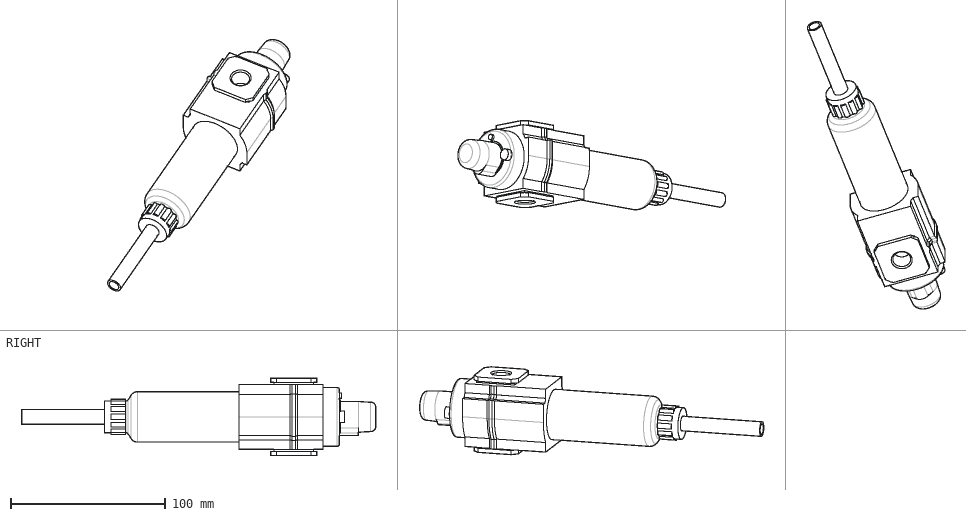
import cadquery as cq
import math


overall_length = 229.6
knob_end = 53.25
knob_base = 41.9
bonnet_top = 29.6
housing_top = 19.1
housing_bottom = -35.6
bowl_straight_end = -101.3
bowl_bend_end = -105.4
bowl_end = -108.9
rib_end = -118.5
nut_end = -122.7
tube_end = knob_end - overall_length

side_radius = 23.3
wall_half_width = 18.2
housing_half_height = 21.0
step_height = 12.1
step_chamfer_width = 1.6
step_chamfer_height = 2.8

ridge_height = 0.9
ridge_base_width = 4.9
ridge_crest_width = 2.0

pad_size = 30.0
pad_corner = 3.7
pad_neck_size = 25.8
pad_top = 50.25 / 2
pad_underside = 22.3
port_radius = 5.8
port_chamfer = 1.0
port_depth = 12.0

bonnet_radius = 19.15
bonnet_fillet = 1.5
collar_radius = 11.1
collar_height = 0.7
stem_radius = 10.1
stem_nose_drop = 12.1
knob_radius = 9.6
knob_fillet = 3.5
screw_offset = 14.85
screw_radius = 3.7
screw_height = 3.3
pin_offset = 13.8
pin_radius = 1.8
pin_height = 1.5

bowl_radius = 16.4
bowl_bend_angle = math.radians(57)
bowl_neck_fillet = 1.6
nut_core_radius = 10.35
rib_count = 12
rib_radius = 1.85
rib_centre_radius = 9.6
tube_radius = 4.8
tube_bore_radius = 3.45


def cylinder_y(radius, start, end, x=0.0, z=0.0):
    """Cylinder parallel to the Y axis from start (higher Y) down to end."""
    return cq.Workplane("XZ", origin=(0, start, 0)).center(x, z).circle(radius).extrude(start - end)


def housing_outline(workplane, offset=0.0):
    """Housing section, its sides moved outward by offset; symmetric under a half turn about Y."""
    radius = side_radius + offset
    wall = wall_half_width + offset
    step = step_height + offset / 2
    arc_end = math.sqrt(radius**2 - wall**2)
    middle_angle = math.atan2(arc_end, wall) / 2
    middle_x = radius * math.cos(middle_angle)
    middle_z = radius * math.sin(middle_angle)

    outline = workplane.moveTo(-wall, housing_half_height)
    for side in (1, -1):
        outline = (
            outline.lineTo(side * wall, side * housing_half_height)
            .lineTo(side * wall, side * arc_end)
            .threePointArc((side * middle_x, side * middle_z), (side * radius, 0))
            .lineTo(side * radius, -side * step)
            .lineTo(side * (wall + step_chamfer_width), -side * step)
            .lineTo(side * wall, -side * (step + step_chamfer_height))
            .lineTo(side * wall, -side * housing_half_height)
        )
    return outline.close()


def make_ridge():
    """Trapezoidal ridge: a straight crest with a sloping flank on either side."""
    flank_width = (ridge_base_width - ridge_crest_width) / 2
    crest_plane = cq.Workplane("XZ", origin=(0, ridge_crest_width / 2, 0))
    ridge = housing_outline(crest_plane, ridge_height).extrude(ridge_crest_width)
    for side in (1, -1):
        crest_edge = cq.Workplane("XZ", origin=(0, side * ridge_crest_width / 2, 0))
        crest_outline = housing_outline(crest_edge, ridge_height)
        base_outline = housing_outline(crest_outline.workplane(offset=-side * flank_width))
        ridge = ridge.union(base_outline.loft(ruled=True))
    return ridge


def make_pad(side):
    """Chamfered square port pad on a smaller square neck; side is +1 above and -1 below."""
    neck = (
        cq.Workplane("XY", origin=(0, 0, side * housing_half_height))
        .rect(pad_neck_size, pad_neck_size)
        .extrude(side * (pad_underside - housing_half_height))
    )
    plate = (
        cq.Workplane("XY", origin=(0, 0, side * pad_underside))
        .rect(pad_size, pad_size)
        .extrude(side * (pad_top - pad_underside))
        .edges("|Z")
        .chamfer(pad_corner)
    )
    return neck.union(plate)


def make_port(side):
    """Blind round hole with a 45 degree countersunk mouth; side is +1 above and -1 below."""
    mouth_radius = port_radius + port_chamfer
    port = (
        cq.Workplane("XZ")
        .moveTo(0, pad_top)
        .lineTo(mouth_radius, pad_top)
        .lineTo(port_radius, pad_top - port_chamfer)
        .lineTo(port_radius, pad_top - port_depth)
        .lineTo(0, pad_top - port_depth)
        .close()
        .revolve(360, (0, 0, 0), (0, 1, 0))
    )
    return port if side > 0 else port.mirror("XY")


def make_housing():
    top_plane = cq.Workplane("XZ", origin=(0, housing_top, 0))
    body = housing_outline(top_plane).extrude(housing_top - housing_bottom)
    body = body.union(make_ridge())
    for side in (1, -1):
        body = body.union(make_pad(side)).cut(make_port(side))
    return body


def make_stem():
    """Teardrop stem: below the round part, two tangent faces at 45 degrees meet in a rounded nose."""
    slope = math.sqrt(0.5)
    tangent = stem_radius * slope
    apex_drop = stem_radius / slope
    nose_radius = (apex_drop - stem_nose_drop) / (1 / slope - 1)
    nose_half_width = nose_radius * slope
    nose_start = -(apex_drop - nose_half_width)
    return (
        cq.Workplane("XZ", origin=(0, knob_base, 0))
        .moveTo(-tangent, -tangent)
        .threePointArc((0, stem_radius), (tangent, -tangent))
        .lineTo(nose_half_width, nose_start)
        .threePointArc((0, -stem_nose_drop), (-nose_half_width, nose_start))
        .close()
        .extrude(knob_base - bonnet_top)
    )


def make_knob():
    """Slightly tapered knob with a rounded end."""
    return (
        cq.Workplane("XY")
        .moveTo(0, knob_base)
        .lineTo(stem_radius, knob_base)
        .lineTo(knob_radius, knob_end - knob_fillet)
        .radiusArc((knob_radius - knob_fillet, knob_end), -knob_fillet)
        .lineTo(0, knob_end)
        .close()
        .revolve(360, (0, 0, 0), (0, 1, 0))
    )


def make_bonnet():
    bonnet = cylinder_y(bonnet_radius, bonnet_top, housing_top).faces(">Y").edges().fillet(bonnet_fillet)
    bonnet = bonnet.union(cylinder_y(collar_radius, bonnet_top + collar_height, bonnet_top))
    bonnet = bonnet.union(make_stem()).union(make_knob())
    for x in (-screw_offset, screw_offset):
        bonnet = bonnet.union(cylinder_y(screw_radius, bonnet_top + screw_height, bonnet_top, x=x))
    return bonnet.union(cylinder_y(pin_radius, bonnet_top + pin_height, bonnet_top, z=pin_offset))


def make_bowl():
    """Straight bowl, rounded into a tangent cone that blends into a short neck above the nut."""
    bend_radius = (bowl_straight_end - bowl_bend_end) / math.sin(bowl_bend_angle)
    bend_end_radius = bowl_radius - bend_radius * (1 - math.cos(bowl_bend_angle))
    cone_end = bowl_bend_end - (bend_end_radius - nut_core_radius) / math.tan(bowl_bend_angle)
    blend_reach = bowl_neck_fillet * math.tan(bowl_bend_angle / 2)
    blend_start = (
        nut_core_radius + blend_reach * math.sin(bowl_bend_angle),
        cone_end + blend_reach * math.cos(bowl_bend_angle),
    )
    return (
        cq.Workplane("XY")
        .moveTo(0, housing_bottom)
        .lineTo(bowl_radius, housing_bottom)
        .lineTo(bowl_radius, bowl_straight_end)
        .radiusArc((bend_end_radius, bowl_bend_end), bend_radius)
        .lineTo(*blend_start)
        .radiusArc((nut_core_radius, cone_end - blend_reach), -bowl_neck_fillet)
        .lineTo(nut_core_radius, bowl_end)
        .lineTo(0, bowl_end)
        .close()
        .revolve(360, (0, 0, 0), (0, 1, 0))
    )


def make_nut():
    """Round core with evenly spaced rounded grip ribs, the first one at +Z."""
    rib = cylinder_y(rib_radius, bowl_end, rib_end, z=rib_centre_radius)
    nut = cylinder_y(nut_core_radius, bowl_end, nut_end)
    for index in range(rib_count):
        nut = nut.union(rib.rotate((0, 0, 0), (0, 1, 0), index * 360 / rib_count))
    return nut


def make_tube():
    return cylinder_y(tube_radius, nut_end, tube_end).cut(cylinder_y(tube_bore_radius, nut_end, tube_end))


housing = make_housing()
bonnet = make_bonnet()
bowl = make_bowl()
nut = make_nut()
tube = make_tube()

result = cq.Compound.makeCompound([housing.val(), bonnet.val(), bowl.val(), nut.val(), tube.val()])